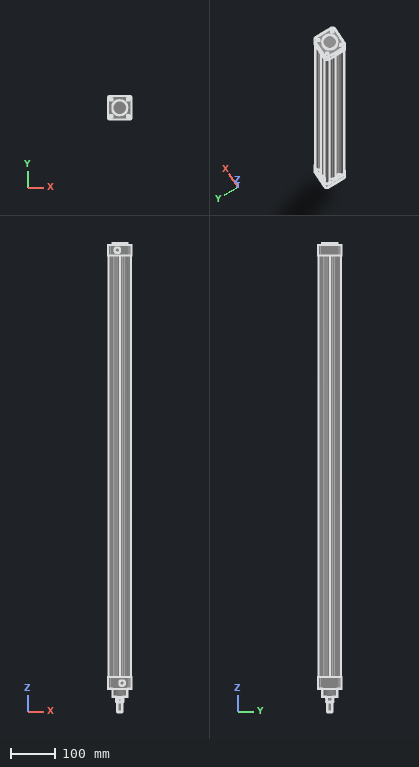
import cadquery as cq
import math

full_length = 1063.0
thread_length = 22.0
spigot_base = 35.0
front_cap_base = 53.0
front_cap_height = 27.0
rear_cap_height = 23.0
boss_height = 4.0

front_cap_top = front_cap_base + front_cap_height
rear_cap_top = full_length - boss_height
rear_cap_base = rear_cap_top - rear_cap_height
tube_length = rear_cap_base - front_cap_top

cap_width = 54.0
cap_corner_radius = 6.0
boss_diameter = 34.0
screw_pitch = 38.0
screw_hole_diameter = 5.0
screw_hole_depth = 11.0
port_diameter = 13.0
port_depth = 6.0
port_offset = 5.0

tube_width = 51.0
lobe_radius = 5.8
groove_radius = 2.7
barrel_radius = 22.0
ridge_half_width = 6.0
lobe_centre = tube_width / 2 - lobe_radius
quarter_turn = math.radians(90)

rod_diameter = 16.0
thread_diameter = 12.0
shoulder_chamfer = (rod_diameter - thread_diameter) / 2
tip_chamfer = 2.0
flats_across = 14.0
flats_length = 7.0
flats_base = thread_length + shoulder_chamfer


def cylinder(diameter, base, top):
    return cq.Workplane("XY").workplane(offset=base).circle(diameter / 2).extrude(top - base)


def cap_block(base, height):
    """Square block with rounded upright corners."""
    block = cq.Workplane("XY").workplane(offset=base).rect(cap_width, cap_width).extrude(height)
    return block.edges("|Z").fillet(cap_corner_radius)


def port(x, z):
    """Blind round port in the -Y side of a cap."""
    mouth = cq.Workplane("XZ", origin=(x, -cap_width / 2, z))
    return mouth.circle(port_diameter / 2).extrude(-port_depth)


def make_rear_cap():
    cap = cap_block(rear_cap_base, rear_cap_height)
    screw_holes = (
        cq.Workplane("XY")
        .workplane(offset=rear_cap_top)
        .rect(screw_pitch, screw_pitch, forConstruction=True)
        .vertices()
        .circle(screw_hole_diameter / 2)
        .extrude(-screw_hole_depth)
    )
    cap = cap.union(cylinder(boss_diameter, rear_cap_base, full_length))
    return cap.cut(screw_holes).cut(port(-port_offset, rear_cap_base + rear_cap_height / 2))


def make_front_cap():
    cap = cap_block(front_cap_base, front_cap_height)
    cap = cap.union(cylinder(boss_diameter, spigot_base, front_cap_top))
    return cap.cut(port(port_offset, front_cap_base + front_cap_height / 2))


def polar(radius, angle):
    return (radius * math.cos(angle), radius * math.sin(angle))


def turned(point, angle):
    """The point turned about the Z axis."""
    x, y = point
    return (
        x * math.cos(angle) - y * math.sin(angle),
        x * math.sin(angle) + y * math.cos(angle),
    )


def half_side_points():
    """Corners of the +X half of the tube's +Y side, from the lobe's highest point to the ridge tip."""
    lobe_distance = lobe_centre * math.sqrt(2)
    groove_distance = barrel_radius + groove_radius
    touching_distance = lobe_radius + groove_radius
    squares = groove_distance**2 + lobe_distance**2 - touching_distance**2
    groove_angle = quarter_turn / 2 + math.acos(squares / (2 * groove_distance * lobe_distance))
    groove_x, groove_y = polar(groove_distance, groove_angle)

    lobe_share = lobe_radius / touching_distance
    lobe_top = (lobe_centre, tube_width / 2)
    lobe_end = (
        lobe_centre + (groove_x - lobe_centre) * lobe_share,
        lobe_centre + (groove_y - lobe_centre) * lobe_share,
    )
    barrel_start = polar(barrel_radius, groove_angle)

    ridge_angle = math.asin(ridge_half_width / barrel_radius)
    ridge_start = polar(barrel_radius, quarter_turn - ridge_angle)
    ridge_tip = (0, barrel_radius / math.cos(ridge_angle))
    return lobe_top, lobe_end, barrel_start, ridge_start, ridge_tip


def make_tube():
    half_side = half_side_points()
    mirrored_half = [(-x, y) for x, y in half_side]
    outline = cq.Workplane("XY").workplane(offset=front_cap_top).moveTo(*half_side[0])
    for side in range(4):
        angle = side * quarter_turn
        _, lobe_end, barrel_start, ridge_start, ridge_tip = [turned(p, angle) for p in half_side]
        far_lobe_top, far_lobe_end, barrel_end, ridge_end, _ = [turned(p, angle) for p in mirrored_half]
        next_side_start = turned(half_side[0], angle + quarter_turn)
        outline = (
            outline.radiusArc(lobe_end, -lobe_radius)
            .radiusArc(barrel_start, groove_radius)
            .radiusArc(ridge_start, -barrel_radius)
            .lineTo(*ridge_tip)
            .lineTo(*ridge_end)
            .radiusArc(barrel_end, -barrel_radius)
            .radiusArc(far_lobe_end, groove_radius)
            .radiusArc(far_lobe_top, -lobe_radius)
            .radiusArc(next_side_start, -lobe_radius)
        )
    return outline.close().extrude(tube_length)


def make_rod():
    thread = cylinder(thread_diameter, 0, thread_length).faces("<Z").chamfer(tip_chamfer)
    shank = cylinder(rod_diameter, thread_length, spigot_base).faces("<Z").chamfer(shoulder_chamfer)
    flats_band = cylinder(2 * rod_diameter, flats_base, flats_base + flats_length)
    across_flats = (
        cq.Workplane("XY")
        .workplane(offset=flats_base)
        .rect(2 * rod_diameter, flats_across)
        .extrude(flats_length)
    )
    return thread.union(shank).cut(flats_band.cut(across_flats))


rear_cap = make_rear_cap()
front_cap = make_front_cap()
tube = make_tube()
rod = make_rod()

result = cq.Compound.makeCompound([rear_cap.val(), front_cap.val(), tube.val(), rod.val()])